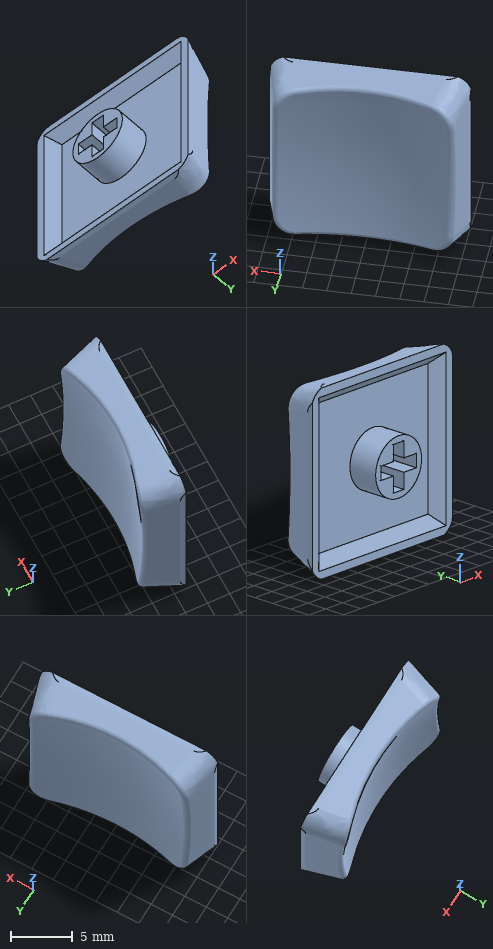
import cadquery as cq
import math

width = 16.5

skirt_height = 0.53
taper_angle = 15.0
blank_height = 4.95
corner_radius = 1.98
rim_fillet = 0.4

dish_low_point = 1.9
dish_radius_across = 17.49
dish_radius_along = 52.8

cavity_opening = 14.97
cavity_floor = 12.99
cavity_depth = 1.07

stem_diameter = 5.4
stem_length = 1.8
cross_span = 4.19
cross_arm_width = 1.24
cross_depth = stem_length + cavity_depth


def plane_at(y):
    """Work plane at height y whose normal points toward +Y."""
    return cq.Workplane("XZ", origin=(0, y, 0)).workplane(invert=True)


def frustum(start_size, end_size, height):
    """Square frustum standing on y = 0 and narrowing toward +Y."""
    return (
        plane_at(0)
        .rect(start_size, start_size)
        .workplane(offset=height)
        .rect(end_size, end_size)
        .loft(ruled=True)
    )


def make_dish_cutter():
    """Ring with a round section, touching the low point of the dish."""
    axis_y = dish_low_point + dish_radius_along
    section_center_y = dish_low_point + dish_radius_across
    axis_offset = axis_y - section_center_y
    return (
        cq.Workplane("XY")
        .center(0, section_center_y)
        .circle(dish_radius_across)
        .revolve(360, (0, axis_offset), (1, axis_offset))
    )


def make_shell():
    """Rounded, dished body, with its lower edge trimmed to a straight skirt."""
    slope = math.tan(math.radians(taper_angle))
    base_size = width + 2 * skirt_height * slope
    blank = frustum(base_size, base_size - 2 * blank_height * slope, blank_height)
    rounded = blank.edges("not(#Y)").fillet(corner_radius)
    dished = rounded.cut(make_dish_cutter())
    above_dish_bottom = cq.selectors.BoxSelector(
        (-width, dish_low_point, -width), (width, blank_height, width), boundingbox=True
    )
    softened = dished.edges(above_dish_bottom).fillet(rim_fillet)
    skirt_envelope = plane_at(0).rect(width, width).extrude(blank_height)
    return softened.intersect(skirt_envelope)


def make_stem():
    """Round post from the cavity floor out past the open rim."""
    return plane_at(-stem_length).circle(stem_diameter / 2).extrude(stem_length + cavity_depth)


def make_cross_socket():
    """Two crossing bars cut into the stem down to the cavity floor."""
    start = plane_at(-stem_length)
    upright = start.rect(cross_arm_width, cross_span).extrude(cross_depth)
    crossbar = start.rect(cross_span, cross_arm_width).extrude(cross_depth)
    return upright.union(crossbar)


cavity = frustum(cavity_opening, cavity_floor, cavity_depth)
result = make_shell().cut(cavity).union(make_stem()).cut(make_cross_socket())